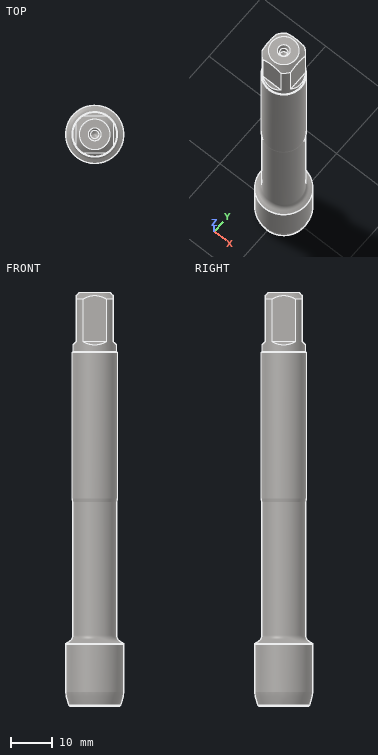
import cadquery as cq
import math

total_length = 100.0
head_diameter = 14.1

head_length = 15.0
lead_in_length = 3.4
lead_in_end_diameter = 12.6
lead_in_radius = 12.0
end_chamfer = 0.3

collar_diameter = head_diameter
collar_shoulder_z = 15.2
collar_slope_angle = 30.0
neck_diameter = 10.7
neck_fillet_radius = 1.6
neck_top_z = 49.3
shank_diameter = 11.0
shank_bottom_z = 50.2
shank_top_z = 85.7
shank_chamfer = (shank_diameter - 10.6) / 2

drive_diameter = shank_diameter - 2 * shank_chamfer
drive_width = 9.0
drive_bottom_z = 88.1
drive_slope_angle = 45.0
tip_diameter = 7.4

hole_diameter = 2.0
hole_mouth_diameter = 3.1
hole_depth = 3.0
hole_tip_angle = 120.0
countersink_angle = 60.0


def revolve_about_z(outline):
    """Turn a closed outline in the XZ plane about the Z axis."""
    return outline.close().revolve(360, (0, 0, 0), (0, 1, 0))


def make_head():
    head_radius = head_diameter / 2
    lead_in_end_radius = lead_in_end_diameter / 2
    outline = (
        cq.Workplane("XZ")
        .moveTo(0, 0)
        .lineTo(lead_in_end_radius - end_chamfer, 0)
        .lineTo(lead_in_end_radius, end_chamfer)
        .radiusArc((head_radius, lead_in_length), -lead_in_radius)
        .lineTo(head_radius, head_length)
        .lineTo(0, head_length)
    )
    return revolve_about_z(outline)


def make_shank_blank():
    neck_radius = neck_diameter / 2
    shank_radius = shank_diameter / 2
    drive_radius = drive_diameter / 2
    tip_radius = tip_diameter / 2
    tip_chamfer = drive_radius - tip_radius
    collar_radius = collar_diameter / 2
    slope = math.radians(collar_slope_angle)
    collar_top_radius = neck_radius + neck_fillet_radius * (1 - math.sin(slope))
    collar_top_z = collar_shoulder_z + (collar_radius - collar_top_radius) * math.tan(slope)
    neck_bottom_z = collar_top_z + neck_fillet_radius * math.cos(slope)
    outline = (
        cq.Workplane("XZ")
        .moveTo(0, head_length)
        .lineTo(collar_radius, head_length)
        .lineTo(collar_radius, collar_shoulder_z)
        .lineTo(collar_top_radius, collar_top_z)
        .radiusArc((neck_radius, neck_bottom_z), neck_fillet_radius)
        .lineTo(neck_radius, neck_top_z)
        .lineTo(shank_radius, shank_bottom_z)
        .lineTo(shank_radius, shank_top_z - shank_chamfer)
        .lineTo(drive_radius, shank_top_z)
        .lineTo(drive_radius, total_length - tip_chamfer)
        .lineTo(tip_radius, total_length)
        .lineTo(0, total_length)
    )
    return revolve_about_z(outline)


def make_flat_cutter():
    """Material beyond the +X flat, ending below in a sloped run-out."""
    flat_x = drive_width / 2
    outer_x = shank_diameter
    run_out_drop = (outer_x - flat_x) * math.tan(math.radians(drive_slope_angle))
    return (
        cq.Workplane("XZ")
        .moveTo(flat_x, drive_bottom_z)
        .lineTo(outer_x, drive_bottom_z - run_out_drop)
        .lineTo(outer_x, total_length)
        .lineTo(flat_x, total_length)
        .close()
        .extrude(shank_diameter / 2, both=True)
    )


def make_centre_hole():
    """Countersunk blind hole with a conical bottom."""
    hole_radius = hole_diameter / 2
    mouth_radius = hole_mouth_diameter / 2
    countersink_depth = (mouth_radius - hole_radius) / math.tan(math.radians(countersink_angle / 2))
    tip_depth = hole_radius / math.tan(math.radians(hole_tip_angle / 2))
    outline = (
        cq.Workplane("XZ")
        .moveTo(0, total_length)
        .lineTo(mouth_radius, total_length)
        .lineTo(hole_radius, total_length - countersink_depth)
        .lineTo(hole_radius, total_length - hole_depth)
        .lineTo(0, total_length - hole_depth - tip_depth)
    )
    return revolve_about_z(outline)


def make_shank():
    shank = make_shank_blank()
    flat_cutter = make_flat_cutter()
    for angle in (0, 90, 180, 270):
        shank = shank.cut(flat_cutter.rotate((0, 0, 0), (0, 0, 1), angle))
    return shank.cut(make_centre_hole())


head = make_head()
shank = make_shank()
result = cq.Compound.makeCompound([head.val(), shank.val()])